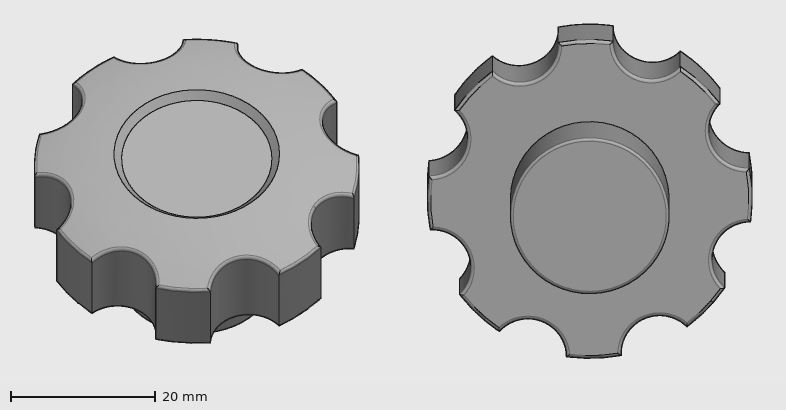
import cadquery as cq
import math

overall_width = 43.9
total_height = 26.15
hub_diameter = 22.0
hub_height = 12.0
hub_edge_round = 0.4

notch_count = 8
notch_radius = 5.3
notch_depth = 3.42
rim_height = 23.85
dome_rise = 0.25
head_edge_round = 0.5

recess_top_diameter = 22.9
recess_floor_diameter = 20.8
recess_depth = 1.05

notch_center = overall_width / 2 - notch_depth + notch_radius
notch_half_width = math.sqrt(notch_radius**2 - (notch_radius - notch_depth) ** 2)
head_radius = math.hypot(overall_width / 2, notch_half_width)
recess_top_radius = recess_top_diameter / 2


def make_head():
    """Domed disc with evenly spaced grip notches and rounded outer edges."""
    span = head_radius - recess_top_radius
    drop = total_height - rim_height
    chord = math.hypot(span, drop)
    dome_middle = (
        recess_top_radius + span / 2 + dome_rise * drop / chord,
        total_height - drop / 2 + dome_rise * span / chord,
    )
    head = (
        cq.Workplane("XZ")
        .moveTo(0, hub_height)
        .lineTo(head_radius, hub_height)
        .lineTo(head_radius, rim_height)
        .threePointArc(dome_middle, (recess_top_radius, total_height))
        .lineTo(0, total_height)
        .close()
        .revolve(360, (0, 0), (0, 1))
    )
    notches = (
        cq.Workplane("XY")
        .polarArray(notch_center, 0, 360, notch_count)
        .circle(notch_radius)
        .extrude(total_height)
    )
    head = head.cut(notches)
    inner_limit = (recess_top_radius + notch_center - notch_radius) / 2
    outline = []
    for edge in head.edges("not |Z").vals():
        middle = edge.positionAt(0.5)
        if math.hypot(middle.x, middle.y) > inner_limit:
            outline.append(edge)
    return head.newObject(outline).fillet(head_edge_round)


def make_hub():
    """Round hub below the head, with a rounded lower edge."""
    hub = cq.Workplane("XY").circle(hub_diameter / 2).extrude(hub_height)
    return hub.faces("<Z").edges().fillet(hub_edge_round)


def make_recess():
    """Shallow recess with a conical wall narrowing to a flat floor."""
    return (
        cq.Workplane("XY", origin=(0, 0, total_height - recess_depth))
        .circle(recess_floor_diameter / 2)
        .workplane(offset=recess_depth)
        .circle(recess_top_radius)
        .loft(ruled=True)
    )


result = make_head().union(make_hub()).cut(make_recess())